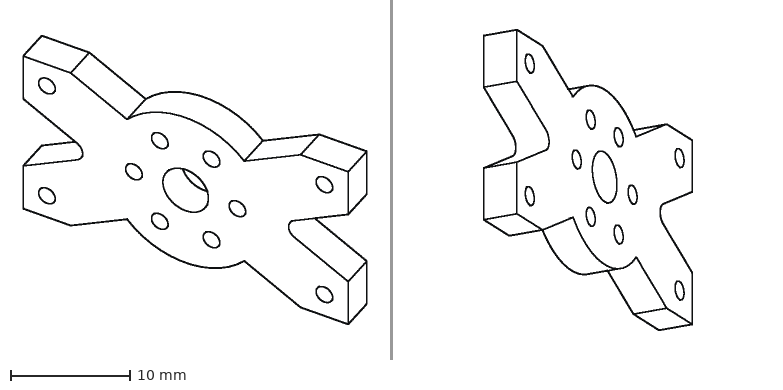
import cadquery as cq
import math

length = 31.4
height = 16.4
thickness = 3.17

hub_radius = 7.8
bore_diameter = 4.4
bolt_circle_radius = 5.0
bolt_count = 6

screw_hole_diameter = 1.6
tip_size = 4.6
arm_angle = 27.5
notch_radius = 1.0

half_length = length / 2
half_height = height / 2
tip_inner_x = half_length - tip_size
tip_inner_z = half_height - tip_size
arm_slope = math.tan(math.radians(arm_angle))

notch_root_x = half_length - tip_inner_z / arm_slope
buried_x = hub_radius / 2
buried_z = half_height - (tip_inner_x - buried_x) * arm_slope


def extrude_centred(sketch):
    """Extrude an XZ-plane sketch symmetrically about Y = 0."""
    return sketch.extrude(thickness / 2, both=True)


def make_arm_pair(side):
    """Two arms forming a V on one side: side is +1 for +X, -1 for -X."""
    upper_edge = [
        (0, buried_z),
        (buried_x, buried_z),
        (tip_inner_x, half_height),
        (half_length, half_height),
        (half_length, tip_inner_z),
    ]
    lower_edge = [(x, -z) for x, z in reversed(upper_edge)]
    outline = upper_edge + [(notch_root_x, 0)] + lower_edge
    points = [(side * x, z) for x, z in outline]
    arms = extrude_centred(cq.Workplane("XZ").polyline(points).close())
    notch_edge = cq.selectors.NearestToPointSelector((side * notch_root_x, 0, 0))
    return arms.edges("|Y").edges(notch_edge).fillet(notch_radius)


def make_holes():
    """Through holes: central bore, bolt circle and one hole per arm tip."""
    bore = extrude_centred(cq.Workplane("XZ").circle(bore_diameter / 2))
    bolt_holes = extrude_centred(
        cq.Workplane("XZ")
        .polarArray(bolt_circle_radius, 0, 360, bolt_count)
        .circle(screw_hole_diameter / 2)
    )
    tip_holes = extrude_centred(
        cq.Workplane("XZ")
        .rect(length - tip_size, height - tip_size, forConstruction=True)
        .vertices()
        .circle(screw_hole_diameter / 2)
    )
    return bore, bolt_holes, tip_holes


body = extrude_centred(cq.Workplane("XZ").circle(hub_radius))
for side in (1, -1):
    body = body.union(make_arm_pair(side))
for holes in make_holes():
    body = body.cut(holes)

result = body